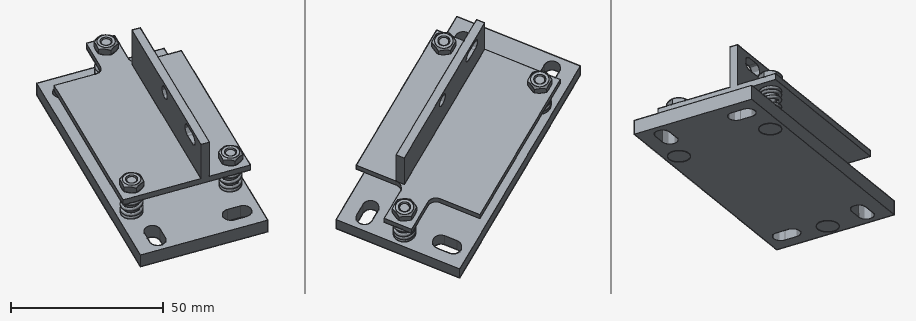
import cadquery as cq
import math

base_length = 90.0
base_width = 45.0
base_thickness = 5.2
slot_width = 5.5
slot_length = 10.0
slot_end_inset = 7.0
slot_side_inset = 8.0

plate_length = 75.0
plate_thickness = 2.25
spring_gap = 9.45
tab_length = 15.0
tab_width = 10.0
corner_radius = 3.0

wall_thickness = 3.0
wall_height = 15.1
wall_hole_diameter = 4.5
wall_slot_length = 8.6
wall_hole_drop = 3.7
wall_hole_x = -1.5
wall_slot_x = 20.4

screw_inset = 4.95
screw_y = 17.5
screw_diameter = 4.0
head_diameter = 7.6
head_height = 2.7
head_protrusion = 0.2
nut_flats = 7.0
nut_height = 3.3
nut_face_diameter = 6.0
nut_chamfer_height = 0.7
nut_bore_diameter = 3.2
nut_countersink_diameter = screw_diameter
nut_countersink_depth = 0.4
spring_diameter = 7.6
wire_diameter = 1.2
end_coil_pitch = 1.3
end_coil_turns = 2
middle_coil_pitch = 2.8
middle_coil_turns = 1.5
points_per_turn = 16

slot_x = base_length / 2 - slot_end_inset
slot_y = base_width / 2 - slot_side_inset
plate_bottom = base_thickness + spring_gap
plate_top = plate_bottom + plate_thickness
plate_start = -base_length / 2
plate_end = plate_start + plate_length
wall_start = plate_start + tab_length
screw_places = [
    (plate_start + screw_inset, 0),
    (plate_end - screw_inset, screw_y),
    (plate_end - screw_inset, -screw_y),
]


def make_base():
    """Rectangular base with four slots, alternating in direction around the corners."""
    base = cq.Workplane("XY").box(base_length, base_width, base_thickness, centered=(True, True, False))
    along_x = [(-slot_x, slot_y), (slot_x, -slot_y)]
    along_y = [(-slot_x, -slot_y), (slot_x, slot_y)]
    for places, angle in ((along_x, 0), (along_y, 90)):
        slots = (
            cq.Workplane("XY")
            .pushPoints(places)
            .slot2D(slot_length, slot_width, angle)
            .extrude(base_thickness)
        )
        base = base.cut(slots)
    return base


def make_plate():
    """T-shaped plate whose narrow tab joins the wide body through two rounded inner corners."""
    tab = cq.Workplane("XY").box(tab_length, tab_width, plate_thickness, centered=(False, True, False))
    body = cq.Workplane("XY").box(
        plate_length - tab_length, base_width, plate_thickness, centered=(False, True, False)
    )
    plate = tab.union(body.translate((tab_length, 0, 0)))
    inner_corners = cq.selectors.BoxSelector(
        (0, -tab_width, 0), (plate_length, tab_width, plate_thickness)
    )
    plate = plate.edges("|Z and (not <X)").edges(inner_corners).fillet(corner_radius)
    return plate.translate((plate_start, 0, plate_bottom))


def make_wall():
    """Upright wall in line with the +Y side of the tab, with a round hole and a slot."""
    wall = (
        cq.Workplane("XY", origin=(wall_start, tab_width / 2, plate_top))
        .box(plate_end - wall_start, wall_thickness, wall_height, centered=False)
    )
    hole_level = plate_top + wall_height - wall_hole_drop
    openings = (
        cq.Workplane("XZ", origin=(0, base_width / 2, hole_level))
        .center(wall_hole_x, 0)
        .circle(wall_hole_diameter / 2)
        .center(wall_slot_x - wall_hole_x, 0)
        .slot2D(wall_slot_length, wall_hole_diameter)
        .extrude(base_width)
    )
    return wall.cut(openings)


def make_nut():
    """Hexagon nut with both ends chamfered and a countersunk bore closed by the screw end."""
    nut_corner_radius = nut_flats / math.sqrt(3)
    hexagon = cq.Workplane("XY").polygon(6, 2 * nut_corner_radius).extrude(nut_height)
    chamfer_envelope = (
        cq.Workplane("XZ")
        .lineTo(nut_face_diameter / 2, 0)
        .lineTo(nut_corner_radius, nut_chamfer_height)
        .lineTo(nut_corner_radius, nut_height - nut_chamfer_height)
        .lineTo(nut_face_diameter / 2, nut_height)
        .lineTo(0, nut_height)
        .close()
        .revolve(360, (0, 0, 0), (0, 1, 0))
    )
    countersink = (
        cq.Workplane("XY", origin=(0, 0, nut_height))
        .circle(nut_countersink_diameter / 2)
        .workplane(offset=-nut_countersink_depth)
        .circle(nut_bore_diameter / 2)
        .loft(ruled=True)
    )
    return hexagon.intersect(chamfer_envelope).cut(countersink)


def spring_rise(turn):
    """Height climbed by the spring wire after the given number of turns."""
    middle_turns_climbed = min(max(turn - end_coil_turns, 0), middle_coil_turns)
    return end_coil_pitch * turn + (middle_coil_pitch - end_coil_pitch) * middle_turns_climbed


def make_spring():
    """Right-handed spring starting on the +Y side, its closely wound ends sunk into both plates."""
    coil_radius = (spring_diameter - wire_diameter) / 2
    total_turns = 2 * end_coil_turns + middle_coil_turns
    path_points = []
    for step in range(int(total_turns * points_per_turn) + 1):
        turn = step / points_per_turn
        angle = math.pi / 2 + 2 * math.pi * turn
        path_points.append((coil_radius * math.cos(angle), coil_radius * math.sin(angle), spring_rise(turn)))
    path = cq.Workplane("XY").spline(path_points)
    start_section = cq.Workplane("YZ", origin=(0, coil_radius, 0)).circle(wire_diameter / 2)
    spring = start_section.sweep(path, isFrenet=True)
    return spring.translate((0, 0, base_thickness + (spring_gap - spring_rise(total_turns)) / 2))


def make_screw():
    """Screw shank with its flat head let into the base and standing slightly proud below it."""
    head_bottom = cq.Workplane("XY", origin=(0, 0, -head_protrusion))
    head = head_bottom.circle(head_diameter / 2).extrude(head_height)
    shank = cq.Workplane("XY").circle(screw_diameter / 2).extrude(plate_top)
    return head.union(shank)


fastener = make_screw().union(make_nut().translate((0, 0, plate_top)))
spring = make_spring()

result = make_base().union(make_plate())
result = result.union(make_wall())
for x, y in screw_places:
    result = result.union(fastener.translate((x, y, 0)))
    result = result.union(spring.translate((x, y, 0)))